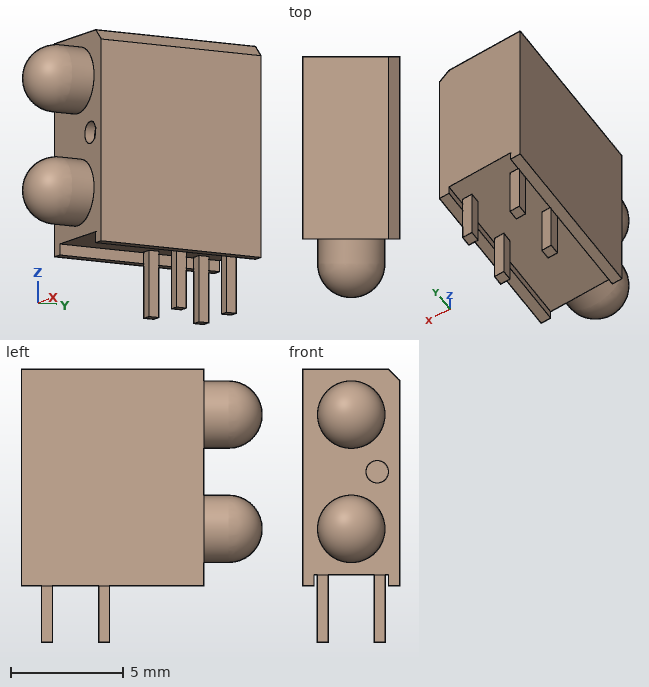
import cadquery as cq

body_width = 4.33
body_depth = 8.12
body_height = 9.65
edge_chamfer = 0.51
foot_width = 0.51
foot_height = 0.5

lamp_diameter = 3.0
lamp_radius = lamp_diameter / 2
lamp_length = 2.6
lamp_pitch = 5.08
upper_lamp_drop = 2.03
upper_lamp_z = body_height - upper_lamp_drop
lower_lamp_z = upper_lamp_z - lamp_pitch

mark_diameter = 1.0
mark_depth = 0.5
mark_x = 1.15
mark_z = (upper_lamp_z + lower_lamp_z) / 2

pin_size = 0.5
pin_pitch = 2.54
rear_pin_inset = 1.14
overall_height = 12.15
pin_drop = overall_height - body_height
rear_pin_y = body_depth - rear_pin_inset
front_pin_y = rear_pin_y - pin_pitch


def housing():
    block = cq.Workplane("XY").box(
        body_width, body_depth, body_height, centered=(True, False, False)
    )
    block = block.edges("|Y and >X and >Z").chamfer(edge_chamfer)
    underside_channel = cq.Workplane("XY").box(
        body_width - 2 * foot_width, body_depth, foot_height, centered=(True, False, False)
    )
    return block.cut(underside_channel)


def lamp(z):
    """Cylinder ending in a hemisphere, pointing along -Y."""
    dome_y = lamp_radius - lamp_length
    barrel = cq.Workplane("XZ").center(0, z).circle(lamp_radius).extrude(-dome_y)
    dome = cq.Workplane("XY").sphere(lamp_radius).translate((0, dome_y, z))
    return barrel.union(dome)


def mark_recess():
    return cq.Workplane("XZ").center(mark_x, mark_z).circle(mark_diameter / 2).extrude(-mark_depth)


def pin(x, y):
    """Square pin hanging below the feet and joined to the roof of the channel."""
    return (
        cq.Workplane("XY", origin=(x, y, -pin_drop))
        .rect(pin_size, pin_size)
        .extrude(pin_drop + foot_height)
    )


result = housing().cut(mark_recess())
for lamp_z in (lower_lamp_z, upper_lamp_z):
    result = result.union(lamp(lamp_z))
for pin_y in (front_pin_y, rear_pin_y):
    for pin_x in (-pin_pitch / 2, pin_pitch / 2):
        result = result.union(pin(pin_x, pin_y))